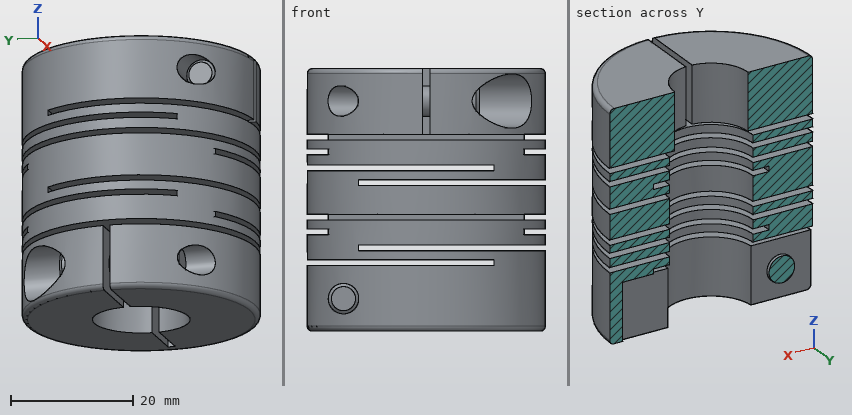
import cadquery as cq

length = 43.0
outer_diameter = 39.0
edge_round = 0.85
top_bore_diameter = 14.0
lower_bore_diameter = 16.0

hub_height = 10.8
cut_width = 0.9
thin_disc = 1.5
thick_disc = 1.7
cut_reach = 11.05

slit_width = 1.2
slit_reach = 16.95

screw_offset = 13.55
screw_height = 5.35
screw_diameter = 5.0
tip_chamfer = 0.5
tip_position = -11.2
head_bore_diameter = 8.9
head_diameter = 8.5
head_seat = 3.7
head_end = 8.7
head_chamfer = 0.5

outer_radius = outer_diameter / 2
mid_height = length / 2
middle_disc = length - 2 * hub_height - 8 * cut_width - 4 * thin_disc - 2 * thick_disc


def block(x_range, y_range, z_range):
    """Axis-aligned box between pairs of limits."""
    limits = (x_range, y_range, z_range)
    sizes = [high - low for low, high in limits]
    corner = tuple(low for low, high in limits)
    return cq.Workplane("XY").box(*sizes, centered=False).translate(corner)


def rod(diameter, start, end):
    """Cylinder along X on the axis of the top clamp screw."""
    return (
        cq.Workplane("YZ", origin=(start, -screw_offset, length - screw_height))
        .circle(diameter / 2)
        .extrude(end - start)
    )


def flip_to_bottom(shape):
    """Half turn about the X = Y diagonal at mid height: carries the top hub onto the bottom hub."""
    return shape.rotate((0, 0, mid_height), (0.45, 0.45, mid_height), 180)


def flexure_cut(bottom, closed_axis, closed_side):
    """Slot through the wall and the bore, closed only beyond cut_reach on one side."""
    along = sorted((-closed_side * outer_diameter, closed_side * cut_reach))
    across = (-outer_diameter, outer_diameter)
    heights = (bottom, bottom + cut_width)
    if closed_axis == "X":
        return block(along, across, heights)
    return block(across, along, heights)


def clamp_slit():
    """Slit of the top hub, open at -Y and crossing the bore."""
    half = slit_width / 2
    return block((-half, half), (-outer_diameter, slit_reach), (length - hub_height, length))


def screw_hole():
    """Through hole of the top clamp screw, with the wide bore for its head at +X."""
    return rod(screw_diameter, -outer_radius, outer_radius).union(
        rod(head_bore_diameter, head_seat, outer_radius)
    )


def screw():
    """Top clamp screw filling its hole: chamfered tip at -X and chamfered head at +X."""
    shank = rod(screw_diameter, tip_position, head_seat).faces("<X").chamfer(tip_chamfer)
    head = rod(head_diameter, head_seat, head_end).faces(">X").chamfer(head_chamfer)
    return shank.union(head)


body = cq.Workplane("XY").circle(outer_radius).extrude(length).edges().fillet(edge_round)
body = body.cut(cq.Workplane("XY").circle(top_bore_diameter / 2).extrude(length))
body = body.cut(cq.Workplane("XY").circle(lower_bore_diameter / 2).extrude(length - hub_height))

flexures = [
    ("Y", 1, thin_disc),
    ("Y", -1, thick_disc),
    ("X", 1, thin_disc),
    ("X", -1, middle_disc),
    ("Y", 1, thin_disc),
    ("Y", -1, thick_disc),
    ("X", -1, thin_disc),
    ("X", 1, hub_height),
]
cut_top = length - hub_height
for closed_axis, closed_side, disc_below in flexures:
    cut_bottom = cut_top - cut_width
    body = body.cut(flexure_cut(cut_bottom, closed_axis, closed_side))
    cut_top = cut_bottom - disc_below

openings = clamp_slit().union(screw_hole())
body = body.cut(openings).cut(flip_to_bottom(openings))
body = body.union(screw()).union(flip_to_bottom(screw()))

result = body